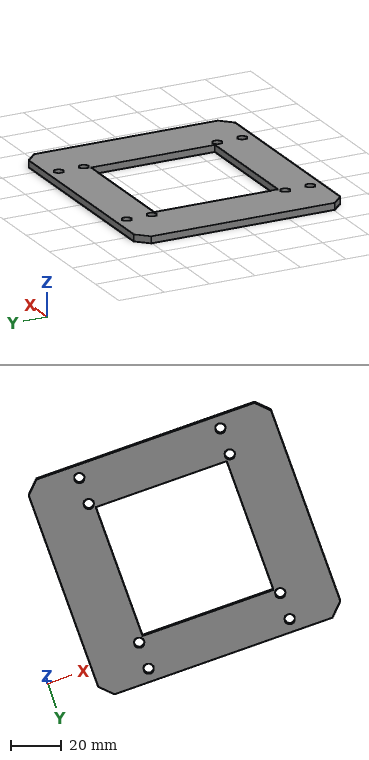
import cadquery as cq

length = 101.0
width = 91.0
thickness = 3.0
corner_chamfer = 5.0

window_side = 54.5

hole_diameter = 4.0
hole_spacing = 58.8
outer_row_spacing = 80.8


def chamfered_plate():
    plate = cq.Workplane("XY").box(length, width, thickness)
    return plate.edges("|Z").chamfer(corner_chamfer)


def cut_window(body):
    return body.faces(">Z").workplane().rect(window_side, window_side).cutThruAll()


def drill_holes(body, row_spacing):
    corners = body.faces(">Z").workplane().rect(hole_spacing, row_spacing, forConstruction=True).vertices()
    return corners.hole(hole_diameter)


result = cut_window(chamfered_plate())
for row_spacing in (hole_spacing, outer_row_spacing):
    result = drill_holes(result, row_spacing)